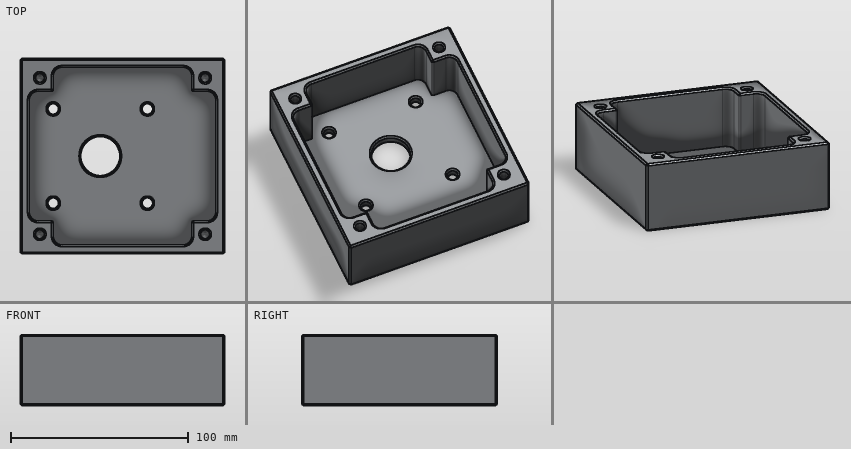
import cadquery as cq
import math

LENGTH = 115.0
WIDTH = 110.0
HEIGHT = 40.0
EDGE_CHAMFER = 1.0

WALL = 5.0
FLOOR = 5.0
CAVITY_LENGTH = LENGTH - 2 * WALL
CAVITY_WIDTH = WIDTH - 2 * WALL
POST_GAP_X = 78.0
POST_GAP_Y = 73.0
CAVITY_CORNER_RADIUS = 5.0
POST_EDGE_RADIUS = EDGE_CHAMFER

SCREW_DIAMETER = 5.0
SCREW_DEPTH = 15.0
SCREW_SPACING_X = 93.0
SCREW_SPACING_Y = 88.0
DRILL_POINT_ANGLE = 150.0

BORE_DIAMETER = 22.0
BORE_X = -12.5
MOUNT_DIAMETER = 6.0
MOUNT_SPACING = 53.0


def make_block():
    """Chamfered block standing on Z = 0, centred on the Z axis."""
    block = cq.Workplane("XY").box(LENGTH, WIDTH, HEIGHT, centered=(True, True, False))
    return block.edges().chamfer(EDGE_CHAMFER)


def cavity_bar(length, width):
    """One bar of the cross, resting on the floor and rounded at its corners."""
    bar = cq.Workplane("XY").workplane(offset=FLOOR)
    bar = bar.rect(length, width).extrude(HEIGHT - FLOOR)
    return bar.edges("|Z").fillet(CAVITY_CORNER_RADIUS)


def cut_cavity(body):
    """Hollow the block with the crossed bars and chamfer the cavity rim."""
    cavity = cavity_bar(CAVITY_LENGTH, POST_GAP_Y).union(cavity_bar(POST_GAP_X, CAVITY_WIDTH))
    rim_box = cq.selectors.BoxSelector(
        (-CAVITY_LENGTH / 2, -CAVITY_WIDTH / 2, HEIGHT - EDGE_CHAMFER / 2),
        (CAVITY_LENGTH / 2, CAVITY_WIDTH / 2, HEIGHT + EDGE_CHAMFER / 2),
    )
    return body.cut(cavity).edges(rim_box).chamfer(EDGE_CHAMFER)


def post_edge_cutter():
    """Sliver that rounds one post edge; the edge's centre of curvature is on the Z axis.

    The round is as large as the rim chamfer, so it tapers to a point at the rim.
    """
    rise = HEIGHT - EDGE_CHAMFER - FLOOR
    column = cq.Solid.makeCylinder(POST_EDGE_RADIUS, rise, cq.Vector(0, 0, FLOOR))
    tip = cq.Solid.makeCone(
        POST_EDGE_RADIUS, 0, EDGE_CHAMFER, cq.Vector(0, 0, HEIGHT - EDGE_CHAMFER)
    )
    quarter = cq.Workplane("XY").workplane(offset=FLOOR)
    quarter = quarter.rect(POST_EDGE_RADIUS, POST_EDGE_RADIUS, centered=False)
    quarter = quarter.extrude(HEIGHT - FLOOR)
    return quarter.val().cut(column, tip)


def hole_cutter(diameter, top_z, depth):
    """Round cutter going down from top_z on the Z axis, with a chamfered mouth."""
    radius = diameter / 2
    down = cq.Vector(0, 0, -1)
    shaft = cq.Solid.makeCylinder(radius, depth, cq.Vector(0, 0, top_z), down)
    mouth = cq.Solid.makeCone(
        radius + EDGE_CHAMFER, radius, EDGE_CHAMFER, cq.Vector(0, 0, top_z), down
    )
    return shaft.fuse(mouth)


def screw_hole_cutter():
    """Blind hole cutter from the rim, ending in a drill point."""
    radius = SCREW_DIAMETER / 2
    point_height = radius / math.tan(math.radians(DRILL_POINT_ANGLE / 2))
    shoulder = cq.Vector(0, 0, HEIGHT - SCREW_DEPTH)
    point = cq.Solid.makeCone(radius, 0, point_height, shoulder, cq.Vector(0, 0, -1))
    return hole_cutter(SCREW_DIAMETER, HEIGHT, SCREW_DEPTH).fuse(point)


def cut_at(body, cutter, places):
    """Cut one copy of the cutter at each (x, y) place."""
    for x, y in places:
        body = body.cut(cutter.translate(cq.Vector(x, y, 0)))
    return body


def corner_places(centre_x, spacing_x, spacing_y):
    """Four corners of a rectangle centred at (centre_x, 0)."""
    return [
        (centre_x + side_x * spacing_x / 2, side_y * spacing_y / 2)
        for side_x in (-1, 1)
        for side_y in (-1, 1)
    ]


def round_post_edges(body):
    """Round the inward vertical edge of all four posts, mirroring one cutter."""
    centre_x = -POST_GAP_X / 2 - POST_EDGE_RADIUS
    centre_y = -POST_GAP_Y / 2 - POST_EDGE_RADIUS
    first = post_edge_cutter().translate(cq.Vector(centre_x, centre_y, 0))
    pair = [first, first.mirror("YZ")]
    for cutter in pair + [half.mirror("XZ") for half in pair]:
        body = body.cut(cq.Workplane(obj=cutter))
    return body


def cut_screw_holes(body):
    places = corner_places(0, SCREW_SPACING_X, SCREW_SPACING_Y)
    return cut_at(body, screw_hole_cutter(), places)


def cut_floor_holes(body):
    body = cut_at(body, hole_cutter(BORE_DIAMETER, FLOOR, FLOOR), [(BORE_X, 0)])
    places = corner_places(BORE_X, MOUNT_SPACING, MOUNT_SPACING)
    return cut_at(body, hole_cutter(MOUNT_DIAMETER, FLOOR, FLOOR), places)


body = cut_cavity(make_block())
body = round_post_edges(body)
body = cut_screw_holes(body)
result = cut_floor_holes(body)